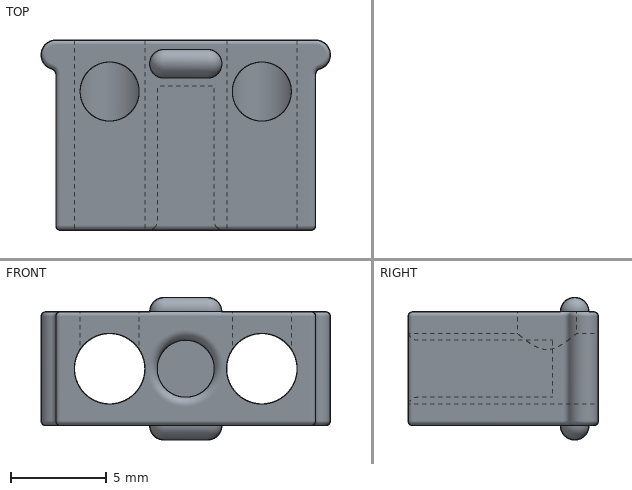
import cadquery as cq
import math

overall_width = 15.2
depth = 10.0
height = 5.99
edge_radius = 0.25

lobe_radius = 0.78
lobe_blend_radius = 0.32
half_width = overall_width / 2 - lobe_radius

hole_spacing = 8.0
through_diameter = 3.7
cross_diameter = 3.1
cross_setback = 2.7
socket_diameter = 3.0
socket_depth = 7.6
socket_mouth_radius = 0.5

key_length = 3.8
key_radius = 0.752
key_setback = 1.25


def lobe_outline_points():
    """Return the right-hand lobe and blend arcs as (mid, end) pairs, from the back face."""
    reach = lobe_radius + lobe_blend_radius
    drop = math.sqrt(reach**2 - lobe_blend_radius**2)
    angle = math.atan2(drop, lobe_blend_radius)
    blend_x = half_width + lobe_blend_radius
    blend_y = -lobe_radius - drop

    lobe_mid = (half_width + lobe_radius, -lobe_radius)
    lobe_end = (
        half_width + lobe_radius * math.cos(angle),
        -lobe_radius - lobe_radius * math.sin(angle),
    )
    middle_angle = math.pi - angle / 2
    blend_mid = (
        blend_x + lobe_blend_radius * math.cos(middle_angle),
        blend_y + lobe_blend_radius * math.sin(middle_angle),
    )
    blend_end = (half_width, blend_y)
    return (lobe_mid, lobe_end), (blend_mid, blend_end)


def mirrored(point):
    """Reflect an outline point to the left side."""
    return (-point[0], point[1])


def make_block():
    """Extrude the lobed outline and round its outer edges."""
    (lobe_mid, lobe_end), (blend_mid, blend_end) = lobe_outline_points()
    block = (
        cq.Workplane("XY")
        .moveTo(-half_width, 0)
        .lineTo(half_width, 0)
        .threePointArc(lobe_mid, lobe_end)
        .threePointArc(blend_mid, blend_end)
        .lineTo(half_width, -depth)
        .lineTo(-half_width, -depth)
        .lineTo(*mirrored(blend_end))
        .threePointArc(mirrored(blend_mid), mirrored(lobe_end))
        .threePointArc(mirrored(lobe_mid), (-half_width, 0))
        .close()
        .extrude(height / 2, both=True)
    )
    block = block.faces("<Y").edges("|Z").fillet(edge_radius)
    return block.faces("|Z").edges().fillet(edge_radius)


def make_key(z):
    """Make a capsule along X, centred on the given height."""
    straight = key_length - 2 * key_radius
    key = (
        cq.Workplane("YZ", origin=(-straight / 2, -key_setback, z))
        .circle(key_radius)
        .extrude(straight)
    )
    for x in (-straight / 2, straight / 2):
        key = key.union(cq.Workplane("XY", origin=(x, -key_setback, z)).sphere(key_radius))
    return key


def make_socket():
    """Make the blind socket cutter: a bore from the front face with a rounded mouth."""
    bore_radius = socket_diameter / 2
    mouth = bore_radius + socket_mouth_radius
    arc_offset = socket_mouth_radius * (1 - math.sqrt(0.5))
    return (
        cq.Workplane("XY")
        .moveTo(0, -depth)
        .lineTo(mouth, -depth)
        .threePointArc(
            (bore_radius + arc_offset, -depth + arc_offset),
            (bore_radius, -depth + socket_mouth_radius),
        )
        .lineTo(bore_radius, -depth + socket_depth)
        .lineTo(0, -depth + socket_depth)
        .close()
        .revolve(360, (0, 0, 0), (0, 1, 0))
    )


result = make_block()

for key_z in (-height / 2, height / 2):
    result = result.union(make_key(key_z))

for hole_x in (-hole_spacing / 2, hole_spacing / 2):
    through_hole = (
        cq.Workplane("XZ", origin=(hole_x, 0, 0)).circle(through_diameter / 2).extrude(depth)
    )
    cross_hole = (
        cq.Workplane("XY", origin=(hole_x, -cross_setback, 0))
        .circle(cross_diameter / 2)
        .extrude(height / 2)
    )
    result = result.cut(through_hole).cut(cross_hole)

result = result.cut(make_socket())